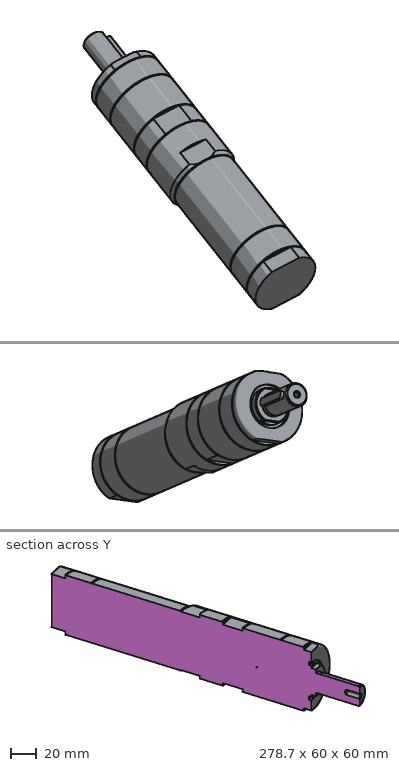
import cadquery as cq
total_length = 278.7

shaft_diameter = 19.0
shaft_chamfer = 1.0
neck_diameter = 18.7
neck_start = 35.5

key_width = 6.0
key_start = 4.5
key_end = 37.3
key_top = 12.3

centre_mouth_diameter = 5.5
centre_hole_diameter = 4.2
centre_taper_depth = 1.0
centre_hole_depth = 12.5
centre_tip_length = 1.0

collar_start = 39.5
collar_diameter = 29.8
collar_flat_spacing = 25.0
collar_chamfer = 0.8
seal_groove_diameter = 35.0
seal_groove_depth = 2.2

embed_depth = 2.8

gearbox_start = 43.8
gearbox_end = 161.5
gearbox_diameter = 60.0
gearbox_flat_spacing = 55.0
gearbox_front_fillet = 1.7
gearbox_rear_chamfer_length = 3.0
gearbox_rear_chamfer_height = 2.0
front_flat_end = 50.5
middle_flat_start = 106.2
middle_flat_end = 123.7
rear_flat_start = 145.0

motor_diameter = 56.0
motor_flat_start = 266.5
motor_flat_spacing = 50.0

groove_width = 0.8
groove_depth = 0.3
gearbox_grooves = [front_flat_end, 71.0, middle_flat_start - groove_width, middle_flat_end]
motor_grooves = [gearbox_end, 242.0, motor_flat_start - groove_width]


def cylinder(diameter, start, end):
    """Solid cylinder on the X axis between two X positions."""
    return cq.Workplane("YZ", origin=(start, 0, 0)).circle(diameter / 2).extrude(end - start)


def ring(outer_diameter, inner_diameter, start, end):
    """Ring on the X axis, used as a cutter."""
    return cylinder(outer_diameter, start, end).cut(cylinder(inner_diameter, start, end))


def flatten(body, spacing, start, end):
    """Cut a pair of flats facing +Z and -Z, the given distance apart."""
    cutter_height = gearbox_diameter
    cutter_width = 2 * gearbox_diameter
    for side in (-1, 1):
        cutter = cq.Workplane("XY").box(end - start, cutter_width, cutter_height).translate(
            ((start + end) / 2, 0, side * (spacing + cutter_height) / 2)
        )
        body = body.cut(cutter)
    return body


def cut_grooves(body, diameter, positions):
    """Cut a narrow joint groove starting at each X position."""
    for start in positions:
        body = body.cut(ring(2 * diameter, diameter - 2 * groove_depth, start, start + groove_width))
    return body


def make_centre_hole():
    """Cutter for the centre hole: tapered mouth, straight bore and conical tip."""
    return (
        cq.Workplane("XY")
        .lineTo(0, centre_mouth_diameter / 2)
        .lineTo(centre_taper_depth, centre_hole_diameter / 2)
        .lineTo(centre_hole_depth, centre_hole_diameter / 2)
        .lineTo(centre_hole_depth + centre_tip_length, 0)
        .close()
        .revolve(360, (0, 0, 0), (1, 0, 0))
    )


def make_shaft():
    shaft = cylinder(shaft_diameter, 0, neck_start).faces("<X").chamfer(shaft_chamfer)
    shaft = shaft.union(cylinder(neck_diameter, neck_start, gearbox_start + embed_depth))
    key = (
        cq.Workplane("XZ")
        .center((key_start + key_end) / 2, 0)
        .slot2D(key_end - key_start, key_width)
        .extrude(-key_top)
    )
    return shaft.union(key).cut(make_centre_hole())


def make_collar():
    collar = cylinder(collar_diameter, collar_start, gearbox_start + embed_depth)
    collar = collar.faces("<X").chamfer(collar_chamfer)
    return flatten(collar, collar_flat_spacing, collar_start, gearbox_start)


def make_gearbox():
    radius = gearbox_diameter / 2
    gearbox = (
        cq.Workplane("XY")
        .moveTo(gearbox_start, 0)
        .lineTo(gearbox_start, radius)
        .lineTo(gearbox_end - gearbox_rear_chamfer_length, radius)
        .lineTo(gearbox_end, radius - gearbox_rear_chamfer_height)
        .lineTo(gearbox_end, 0)
        .close()
        .revolve(360, (0, 0, 0), (1, 0, 0))
    )
    gearbox = gearbox.faces("<X").edges().fillet(gearbox_front_fillet)
    gearbox = cut_grooves(gearbox, gearbox_diameter, gearbox_grooves)
    for start, end in (
        (gearbox_start, front_flat_end),
        (middle_flat_start, middle_flat_end),
        (rear_flat_start, gearbox_end),
    ):
        gearbox = flatten(gearbox, gearbox_flat_spacing, start, end)
    groove_floor = gearbox_start + seal_groove_depth
    return gearbox.cut(ring(seal_groove_diameter, collar_diameter, gearbox_start, groove_floor))


def make_motor():
    motor = cylinder(motor_diameter, gearbox_end, total_length)
    motor = cut_grooves(motor, motor_diameter, motor_grooves)
    return flatten(motor, motor_flat_spacing, motor_flat_start, total_length)


result = make_gearbox().union(make_motor()).union(make_collar()).union(make_shaft())